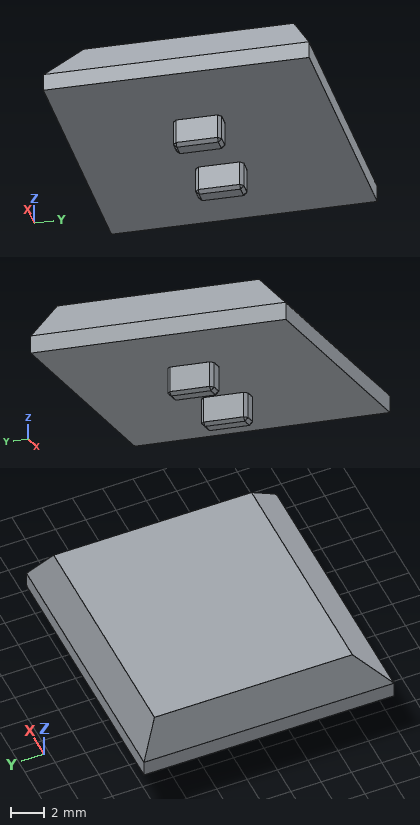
import cadquery as cq

cap_width = 17.5
cap_depth = 16.5
skirt_height = 1.1

slope_height = 2.2
side_inset = 1.25
front_inset = 2.2

leg_width = 1.2
leg_depth = 3.0
leg_height = 1.78
leg_spacing = 5.7
leg_chamfer = 0.21


def rectangle_wire(x_min, x_max, y_min, y_max, z):
    corners = [
        (x_min, y_min, z),
        (x_max, y_min, z),
        (x_max, y_max, z),
        (x_min, y_max, z),
    ]
    return cq.Wire.makePolygon([cq.Vector(*corner) for corner in corners], close=True)


def make_skirt():
    return cq.Workplane("XY").box(cap_width, cap_depth, skirt_height, centered=(True, True, False))


def make_sloped_top():
    half_width = cap_width / 2
    half_depth = cap_depth / 2
    lower_edge = rectangle_wire(-half_width, half_width, -half_depth, half_depth, skirt_height)
    upper_edge = rectangle_wire(
        -half_width + side_inset,
        half_width - side_inset,
        -half_depth + front_inset,
        half_depth - side_inset,
        skirt_height + slope_height,
    )
    return cq.Workplane(cq.Solid.makeLoft([lower_edge, upper_edge], True))


def make_leg(x_center):
    leg = cq.Workplane("XY").box(leg_width, leg_depth, leg_height, centered=(True, True, False))
    leg = leg.edges("|Z or <Z").chamfer(leg_chamfer)
    return leg.translate((x_center, 0, -leg_height))


result = make_skirt().union(make_sloped_top())
for side in (-1, 1):
    result = result.union(make_leg(side * leg_spacing / 2))